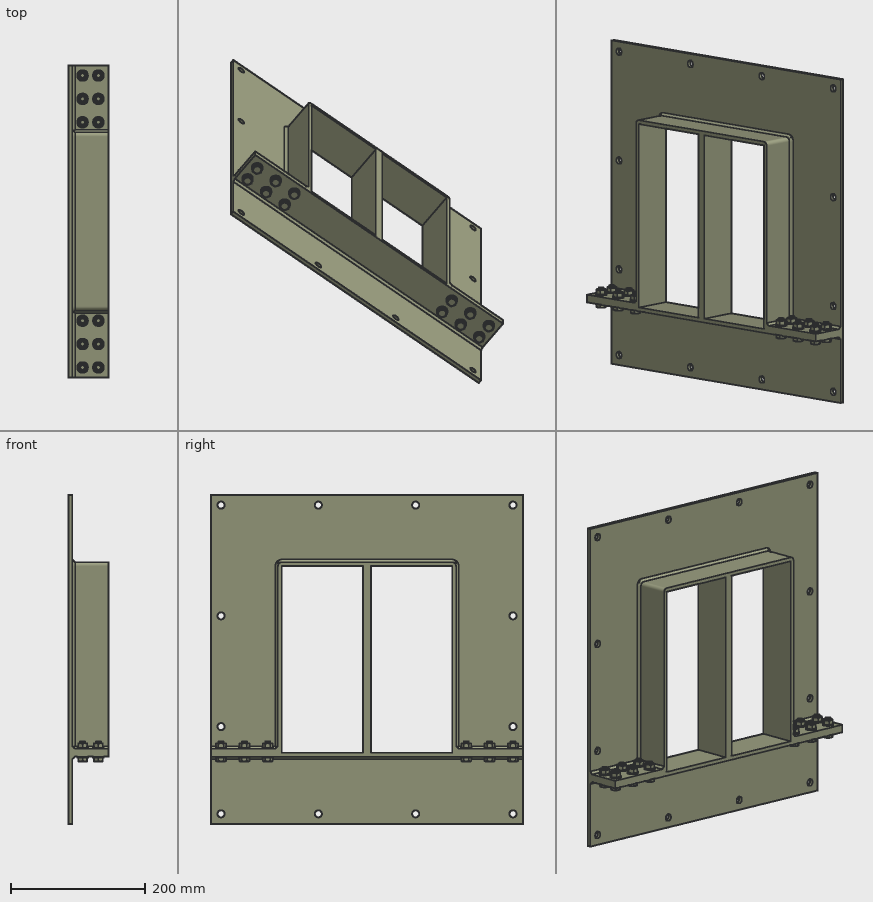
import cadquery as cq
import math

DEPTH = 60.0
WIDTH = 465.0
HEIGHT = 490.0
SHEET = 6.0

BORDER = 100.0
WINDOW_BOTTOM = 106.5
WALL = 6.0
DIVIDER = 12.2
WINDOW_WIDTH = WIDTH - 2 * BORDER
WINDOW_TOP = HEIGHT - BORDER
FLANGE_TOP = WINDOW_BOTTOM + SHEET
FLANGE_BOTTOM = WINDOW_BOTTOM - SHEET
WELD = 4.0
WELD_ANGLE = 45

HOLE_DIAMETER = 10.5
EDGE_MARGIN = 15.0
LOWER_HOLE_ROW = 145.0
TOP_HOLE_ROW = HEIGHT - EDGE_MARGIN
UPPER_HOLE_ROW = (LOWER_HOLE_ROW + TOP_HOLE_ROW) / 2

BOLT_X = (21.0, 44.5)
BOLT_PITCH_Y = 35.0
BOLTS_PER_ROW = 3
BOLT_DIAMETER = 8.0
BOLT_TIP_DIAMETER = 7.0
BOLT_TIP = 2.5
WASHER_DIAMETER = 16.0
WASHER = 1.5
HEX_FLATS = 13.0
HEX_FACE_DIAMETER = 12.0
HEAD = 6.0
NUT = 7.0
CHAMFER_ANGLE = 30
HEX_TURN = 30


def block(x, y, z):
    """Box spanning the three (low, high) ranges."""
    size = [high - low for low, high in (x, y, z)]
    return cq.Workplane("XY").box(*size, centered=False).translate((x[0], y[0], z[0]))


def window_outline(grow, corner_radius, start_x):
    """Window rectangle with rounded top corners, enlarged at the sides and top by grow."""
    half = WINDOW_WIDTH / 2 + grow
    straight = half - corner_radius
    top = WINDOW_TOP + grow
    shoulder = top - corner_radius
    bend = corner_radius * math.sqrt(0.5)
    return (
        cq.Workplane("YZ", origin=(start_x, 0, 0))
        .moveTo(-half, WINDOW_BOTTOM)
        .lineTo(-half, shoulder)
        .threePointArc((-straight - bend, shoulder + bend), (-straight, top))
        .lineTo(straight, top)
        .threePointArc((straight + bend, shoulder + bend), (half, shoulder))
        .lineTo(half, WINDOW_BOTTOM)
        .close()
    )


def make_face_plate():
    """Flat sheet with the window opening and the ring of mounting holes."""
    plate = block((0, SHEET), (-WIDTH / 2, WIDTH / 2), (0, HEIGHT))
    window_y = (-WINDOW_WIDTH / 2, WINDOW_WIDTH / 2)
    plate = plate.cut(block((0, SHEET), window_y, (WINDOW_BOTTOM, WINDOW_TOP)))
    side = WIDTH / 2 - EDGE_MARGIN
    holes = []
    for y in (-side, -side / 3, side / 3, side):
        holes += [(y, EDGE_MARGIN), (y, TOP_HOLE_ROW)]
    for y in (-side, side):
        holes += [(y, LOWER_HOLE_ROW), (y, UPPER_HOLE_ROW)]
    drills = cq.Workplane("YZ").pushPoints(holes).circle(HOLE_DIAMETER / 2).extrude(SHEET)
    return plate.cut(drills)


def make_window_box():
    """Bent walls, divider and the weld joining them to the back of the face plate."""
    shell = window_outline(0, WALL, 0).extrude(DEPTH)
    weld = window_outline(WELD, WALL + WELD, SHEET).extrude(WELD, taper=WELD_ANGLE)
    inner_half = WINDOW_WIDTH / 2 - WALL
    opening = block((0, DEPTH), (-inner_half, inner_half), (0, WINDOW_TOP - WALL))
    divider = block((0, DEPTH), (-DIVIDER / 2, DIVIDER / 2), (WINDOW_BOTTOM, WINDOW_TOP))
    return shell.union(weld).cut(opening).union(divider)


def weld_along_y(corner_z, direction, y_low, y_high):
    """Triangular weld behind the face plate, rising (+1) or falling (-1) from corner_z."""
    profile = [(SHEET, corner_z), (SHEET + WELD, corner_z), (SHEET, corner_z + direction * WELD)]
    section = cq.Workplane("XZ", origin=(0, y_high, 0)).polyline(profile).close()
    return section.extrude(y_high - y_low)


def make_end_flange():
    """Upper flange at the +Y end with its welds to the face plate and to the window box."""
    inner, outer = WINDOW_WIDTH / 2, WIDTH / 2
    flange = block((0, DEPTH), (inner, outer), (WINDOW_BOTTOM, FLANGE_TOP))
    corner = [(inner, FLANGE_TOP), (inner + WELD, FLANGE_TOP), (inner, FLANGE_TOP + WELD)]
    box_weld = cq.Workplane("YZ", origin=(SHEET, 0, 0)).polyline(corner).close().extrude(DEPTH - SHEET)
    return flange.union(weld_along_y(FLANGE_TOP, 1, inner, outer)).union(box_weld)


def hexagon(height):
    """Hexagon with corners along Y and the corners of its upper face chamfered."""
    corner_diameter = HEX_FLATS / math.cos(math.radians(HEX_TURN))
    prism = cq.Workplane("XY").polygon(6, corner_diameter).extrude(height)
    prism = prism.rotate((0, 0, 0), (0, 0, 1), HEX_TURN)
    drop = (corner_diameter - HEX_FACE_DIAMETER) / 2 * math.tan(math.radians(CHAMFER_ANGLE))
    envelope = (
        cq.Workplane("XZ")
        .polyline([
            (0, 0),
            (corner_diameter / 2, 0),
            (corner_diameter / 2, height - drop),
            (HEX_FACE_DIAMETER / 2, height),
            (0, height),
        ])
        .close()
        .revolve(360, (0, 0), (0, 1))
    )
    return prism.intersect(envelope)


def make_bolt():
    """Bolt centred on the Z axis with its washers, head below and nut above the flanges."""
    nut_base = FLANGE_TOP + WASHER
    head_base = FLANGE_BOTTOM - WASHER
    shank_length = nut_base + NUT + BOLT_TIP - head_base
    tip_chamfer = (BOLT_DIAMETER - BOLT_TIP_DIAMETER) / 2
    shank = cq.Workplane("XY", origin=(0, 0, head_base)).circle(BOLT_DIAMETER / 2).extrude(shank_length)
    shank = shank.faces(">Z").chamfer(tip_chamfer)
    washer = cq.Workplane("XY").circle(WASHER_DIAMETER / 2).extrude(WASHER)
    upper_washer = washer.translate((0, 0, FLANGE_TOP))
    lower_washer = washer.translate((0, 0, head_base))
    nut = hexagon(NUT).translate((0, 0, nut_base))
    head = hexagon(HEAD).mirror("XY").translate((0, 0, head_base))
    return shank.union(upper_washer).union(lower_washer).union(nut).union(head)


lower_flange = block((0, DEPTH), (-WIDTH / 2, WIDTH / 2), (FLANGE_BOTTOM, WINDOW_BOTTOM))
lower_weld = weld_along_y(FLANGE_BOTTOM, -1, -WIDTH / 2, WIDTH / 2)
end_flange = make_end_flange()

result = make_face_plate().union(make_window_box())
result = result.union(lower_flange).union(lower_weld)
result = result.union(end_flange).union(end_flange.mirror("XZ"))

bolt = make_bolt()
for x in BOLT_X:
    for row in range(BOLTS_PER_ROW):
        y = WIDTH / 2 - EDGE_MARGIN - row * BOLT_PITCH_Y
        result = result.union(bolt.translate((x, y, 0))).union(bolt.translate((x, -y, 0)))